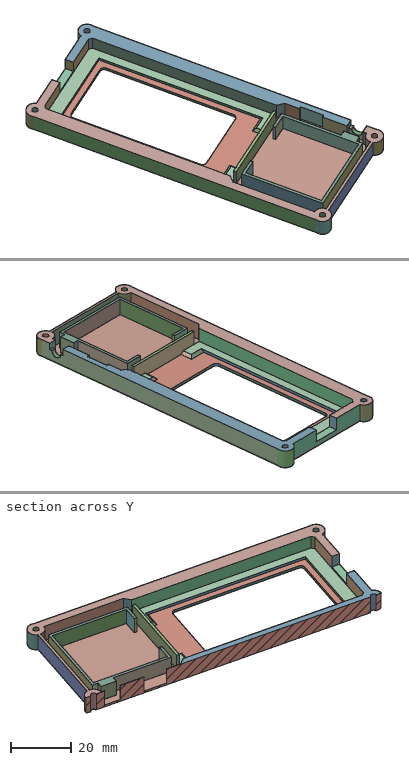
import cadquery as cq

length = 112.23
width = 45.23
height = 7.0
post_radius = 3.0
screw_diameter = 2.0
post_x = length / 2 - post_radius
post_y = width / 2 - post_radius
body_length = 108.0
body_width = 45.0
body_corner = 1.0
bottom_round = 1.0

ledge_z = 2.0
bay_left = -51.0
bay_right = 18.0
bay_half_width = 17.5
bay_corner = 1.0

recess_z = 1.0
recess_left = -46.2
recess_right = 13.4
recess_half_width = 14.5
channel_half_width = 8.5
recess_rise = ledge_z - recess_z

window_left = -44.0
window_right = 6.0
window_half_width = 12.35
window_corner = 1.5

floor_z = 1.0
battery_bay_right = 53.0
battery_bay_half_width = 19.5
battery_bay_corner = battery_bay_half_width - bay_half_width

thin_wall = 1.0
divider_half_width = 15.0
tray_left = 21.0
tray_right = 51.0
tray_half_width = 15.0

usb_half_width = 5.0
usb_sill_z = 2.5
relief_left = 25.4
relief_right = 33.9
relief_rear = 20.4
plug_left = 43.0
plug_right = 48.8
plug_rear = 20.9
plug_axis_z = 4.6
plug_diameter = 3.8
backstop_rear = 17.0


def block(x_min, x_max, y_min, y_max, z_min, z_max):
    """Rectangular block given by its limits."""
    size = (x_max - x_min, y_max - y_min, z_max - z_min)
    return cq.Workplane("XY").box(*size, centered=False).translate((x_min, y_min, z_min))


def corner_cylinders(radius):
    """Four full-height cylinders, one on each corner axis."""
    corners = cq.Workplane("XY").rect(2 * post_x, 2 * post_y, forConstruction=True)
    return corners.vertices().circle(radius).extrude(height)


def outer_body():
    """Solid slab with corner posts and a rounded bottom edge."""
    slab = cq.Workplane("XY").box(body_length, body_width, height, centered=(True, True, False))
    rounded_slab = slab.edges("|Z").fillet(body_corner).faces("<Z").edges().fillet(bottom_round)
    rounded_posts = corner_cylinders(post_radius).faces("<Z").edges().fillet(bottom_round)
    return rounded_slab.union(rounded_posts)


def display_bay():
    """Bay above the ledge, with small bevels at its left corners."""
    bay = block(bay_left, bay_right, -bay_half_width, bay_half_width, ledge_z, height)
    return bay.edges("|Z and <X").chamfer(bay_corner)


def display_recess():
    """Recess for the display and its cable channel, with sloped right ends."""
    recess = block(recess_left, recess_right, -recess_half_width, recess_half_width, recess_z, ledge_z)
    end_slope = (
        cq.Workplane("XZ")
        .moveTo(recess_right, recess_z)
        .lineTo(recess_right + recess_rise, ledge_z)
        .lineTo(recess_right, ledge_z)
        .close()
        .extrude(recess_half_width, both=True)
    )
    channel = (
        cq.Workplane("YZ", origin=(recess_right, 0, 0))
        .moveTo(-channel_half_width, recess_z)
        .lineTo(channel_half_width, recess_z)
        .lineTo(channel_half_width + recess_rise, ledge_z)
        .lineTo(-channel_half_width - recess_rise, ledge_z)
        .close()
        .extrude(bay_right - recess_right)
    )
    return recess.union(end_slope).union(channel)


def display_window():
    """Through opening with rounded corners."""
    window = block(window_left, window_right, -window_half_width, window_half_width, 0, height)
    return window.edges("|Z").fillet(window_corner)


def battery_bay():
    """Bay down to the floor, bevelled at the left and clear of the right posts."""
    bay = block(bay_right, battery_bay_right, -battery_bay_half_width, battery_bay_half_width, floor_z, height)
    return bay.edges("|Z and <X").chamfer(battery_bay_corner).cut(corner_cylinders(post_radius))


def divider():
    """Upright wall between the two bays."""
    return block(bay_right, bay_right + thin_wall, -divider_half_width, divider_half_width, floor_z, height)


def battery_tray():
    """Thin wall around the battery, open in the middle of its left side."""
    outside = block(tray_left, tray_right, -tray_half_width, tray_half_width, floor_z, height)
    inside_half_width = tray_half_width - thin_wall
    inside = block(
        tray_left + thin_wall, tray_right - thin_wall, -inside_half_width, inside_half_width, floor_z, height
    )
    opening = block(
        tray_left, tray_left + thin_wall, -channel_half_width, channel_half_width, floor_z, height
    )
    backstop = block(plug_left, plug_right, inside_half_width, backstop_rear, floor_z, height)
    return outside.cut(inside).cut(opening).union(backstop)


def plug_socket():
    """Pocket and open-topped round groove through the rear wall."""
    rear = width / 2
    pocket = block(plug_left, plug_right, battery_bay_half_width, plug_rear, floor_z, height)
    shelf = block(plug_left, plug_right, plug_rear, rear, plug_axis_z, height)
    groove = (
        cq.Workplane("XZ", origin=((plug_left + plug_right) / 2, rear, plug_axis_z))
        .circle(plug_diameter / 2)
        .extrude(rear - plug_rear)
    )
    return pocket.union(shelf).union(groove)


def usb_notch():
    """Open-topped notch in the left end wall."""
    return block(-length / 2, bay_left, -usb_half_width, usb_half_width, usb_sill_z, height)


def rear_relief():
    """Shallow relief in the inner face of the rear wall."""
    return block(relief_left, relief_right, battery_bay_half_width, relief_rear, floor_z, height)


result = (
    outer_body()
    .cut(display_bay())
    .cut(display_recess())
    .cut(display_window())
    .cut(battery_bay())
    .union(divider())
    .union(battery_tray())
    .cut(plug_socket())
    .cut(usb_notch())
    .cut(rear_relief())
    .cut(corner_cylinders(screw_diameter / 2))
)